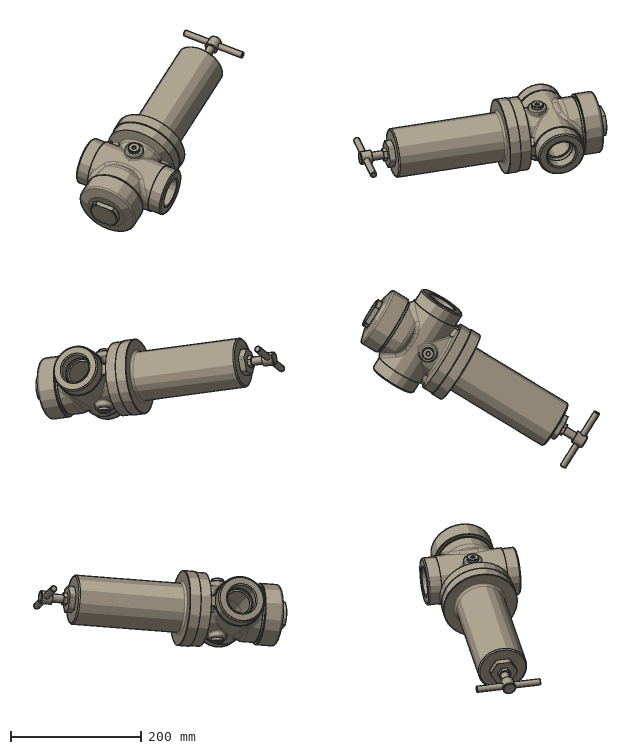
import cadquery as cq
import math


port_length = 145.0
port_radius = 36.5
port_chamfer = 2.0
cross_length = 104.0
cross_radius = 38.0
neck_radius = 38.0
flange_radius = 56.8
joint_y = 60.3
flange_front_y = 43.9
flange_cone_depth = 3.6
bowl_radius = 44.4
bowl_front_y = -42.0
bowl_shoulder_y = -19.2
bowl_cone_depth = 13.0
bowl_shoulder_fillet = 9.3
spigot_radius = 43.2
thread_radius = 22.2
thread_depth = 17.0
seat_radius = 21.8
seat_depth = 23.8
bore_radius = 19.0
port_mouth_radius = 24.5
port_mouth_depth = 1.0
neck_fillet = 3.3
saddle_fillet = 3.0
bowl_fillet = 8.0

gauge_y = 19.0
gauge_boss_radius = 14.2
gauge_boss_top = 45.3
gauge_boss_fillet = 2.0
gauge_root_fillet = 1.5
plug_radius = 9.2
plug_top = 50.0
plug_chamfer = 0.9
plug_socket_width = 6.0
plug_socket_depth = 3.0

cap_radius = 47.5
cap_back_y = -45.2
cap_back_chamfer = 0.7
cap_edge_y = -73.4
cap_edge_fillet = 3.0
cap_face_y = -78.2
cap_face_radius = 31.0
cap_head_radius = 23.3
cap_head_flats = 36.5
cap_head_chamfer_height = 0.9
cap_head_chamfer_width = 2.0
front_y = -86.0

overall_length = 388.0
bonnet_flange_radius = 115.89 / 2
bonnet_flange_back_y = 78.2
bonnet_flange_chamfer = 0.8
bonnet_radius = 38.0
bonnet_top_y = 249.8
bonnet_root_fillet = 3.5
bonnet_edge_chamfer = 2.0

collar_flats = 37.0
collar_height = 9.7
collar_corner_fillet = 3.5
lock_nut_flats = 17.0
lock_nut_height = 6.0
screw_radius = 6.5
screw_head_radius = 10.0
screw_head_length = 18.0
screw_head_chamfer = 1.4
bar_length = 100.0
bar_radius = 4.9
bar_chamfer = 0.9
bar_offset = 8.5

collar_top_y = bonnet_top_y + collar_height
lock_nut_top_y = collar_top_y + lock_nut_height
back_y = front_y + overall_length
screw_head_y = back_y - screw_head_length
bar_y = back_y - bar_offset


def cylinder_x(radius, length):
    return cq.Workplane("YZ").circle(radius).extrude(length / 2, both=True)


def cylinder_y(radius, y_start, y_end):
    return cq.Workplane("XZ", origin=(0, y_start, 0)).circle(radius).extrude(y_start - y_end)


def hexagon_y(flats, y_start, y_end):
    corners = flats / math.cos(math.pi / 6)
    return cq.Workplane("XZ", origin=(0, y_start, 0)).polygon(6, corners).extrude(y_start - y_end)


def turned(points):
    """Solid of revolution about Y from (radius, y) points that start and end on the axis."""
    return cq.Workplane("XY").polyline(points).close().revolve(360, (0, 0, 0), (0, 1, 0))


def build_bowl():
    """Cross barrel and front bowl with a rolled blend between them."""
    blend_room = 4 * bowl_fillet
    cone_top_y = bowl_shoulder_y + bowl_cone_depth
    bowl = (
        turned([
            (0, cone_top_y),
            (bowl_radius - bowl_cone_depth, cone_top_y),
            (bowl_radius, bowl_shoulder_y),
            (bowl_radius, bowl_front_y - blend_room),
            (0, bowl_front_y - blend_room),
        ])
        .edges(cq.selectors.NearestToPointSelector((0, bowl_shoulder_y, 0)))
        .fillet(bowl_shoulder_fillet)
    )
    blended = cylinder_x(cross_radius, cross_length + blend_room).union(bowl)
    meeting = blended.edges().filter(lambda edge: edge.geomType() not in ("LINE", "CIRCLE"))
    blended = meeting.fillet(bowl_fillet)
    envelope = cq.Workplane("XY").box(cross_length, -2 * bowl_front_y, 4 * cross_radius)
    return blended.intersect(envelope).union(cylinder_y(spigot_radius, bowl_front_y, cap_back_y))


def build_web():
    """Ridge that fills the wedge between the cross barrel and the flange, with hollow sides."""
    slope = flange_cone_depth / (flange_radius - neck_radius)
    top_y = flange_front_y - slope * (flange_radius - cross_length / 2)
    centre_y = top_y - neck_fillet
    centre_z = math.sqrt((cross_radius + neck_fillet) ** 2 - centre_y ** 2)
    web = cq.Workplane("XY").box(cross_length, top_y, 2 * centre_z, (True, False, True))
    for side in (1, -1):
        web = web.cut(cylinder_x(neck_fillet, cross_length).translate((0, centre_y, side * centre_z)))
    return web


def is_boss_root(edge):
    """True for the curved edges around the foot of either gauge boss, below its rounded rim."""
    centre = edge.Center()
    near_axis = math.hypot(centre.x, centre.y - gauge_y) < 1.01 * gauge_boss_radius
    foot_z = neck_radius - saddle_fillet
    rim_z = gauge_boss_top - 1.1 * gauge_boss_fillet
    return near_axis and foot_z < abs(centre.z) < rim_z


def build_housing():
    flange_cone_y = flange_front_y - flange_cone_depth
    neck = turned([
        (0, 0),
        (neck_radius, 0),
        (neck_radius, flange_cone_y),
        (flange_radius, flange_front_y),
        (flange_radius, joint_y),
        (0, joint_y),
    ])
    root = cq.selectors.NearestToPointSelector((0, flange_cone_y, 0))
    housing = build_bowl().union(neck.edges(root).fillet(neck_fillet))
    for side in (1, -1):
        boss = (
            cq.Workplane("XY", origin=(0, gauge_y, 0))
            .circle(gauge_boss_radius).extrude(side * gauge_boss_top)
        )
        rim = boss.faces(">Z" if side > 0 else "<Z").edges()
        housing = housing.union(rim.fillet(gauge_boss_fillet))

    saddles = housing.edges("%ELLIPSE").filter(lambda edge: abs(edge.Center().x) > gauge_boss_radius)
    housing = saddles.fillet(saddle_fillet)

    boss_roots = housing.edges("not %LINE").filter(is_boss_root)
    housing = boss_roots.fillet(gauge_root_fillet)

    ports = cylinder_x(port_radius, port_length).faces("<X or >X").chamfer(port_chamfer)
    housing = housing.union(build_web()).union(ports)
    half = port_length / 2
    passage = (
        cq.Workplane("XY")
        .polyline([
            (-half, 0),
            (-half, port_mouth_radius),
            (port_mouth_depth - half, thread_radius),
            (thread_depth - half, thread_radius),
            (thread_depth - half, seat_radius),
            (seat_depth - half, seat_radius),
            (seat_depth - half, bore_radius),
            (0, bore_radius),
            (0, 0),
        ])
        .close()
        .revolve(360, (0, 0, 0), (1, 0, 0))
    )
    return housing.cut(passage).cut(passage.mirror("YZ"))


def build_plug(side):
    plug = (
        cq.Workplane("XY", origin=(0, gauge_y, gauge_boss_top))
        .circle(plug_radius).extrude(plug_top - gauge_boss_top)
        .faces(">Z").chamfer(plug_chamfer)
        .faces(">Z").workplane()
        .polygon(6, plug_socket_width / math.cos(math.pi / 6)).cutBlind(-plug_socket_depth)
    )
    return plug if side > 0 else plug.mirror("XY")


def build_cap():
    cap = turned([
        (0, cap_back_y),
        (cap_radius - cap_back_chamfer, cap_back_y),
        (cap_radius, cap_back_y - cap_back_chamfer),
        (cap_radius, cap_edge_y),
        (cap_face_radius, cap_face_y),
        (0, cap_face_y),
    ])
    rim = cq.selectors.NearestToPointSelector((0, cap_edge_y, 0))
    cap = cap.edges(rim).fillet(cap_edge_fillet)
    head = cylinder_y(cap_head_radius, cap_face_y, front_y)
    head = head.faces("<Y").chamfer(cap_head_chamfer_height, cap_head_chamfer_width)
    flats = cq.Workplane("XY").box(2 * cap_head_radius, 2 * overall_length, cap_head_flats)
    return cap.union(head.intersect(flats))


def build_bonnet():
    flange = cylinder_y(bonnet_flange_radius, joint_y, bonnet_flange_back_y)
    flange = flange.faces("<Y or >Y").chamfer(bonnet_flange_chamfer)
    tube = cylinder_y(bonnet_radius, joint_y, bonnet_top_y).faces(">Y").chamfer(bonnet_edge_chamfer)
    bonnet = flange.union(tube)
    back_face = cq.selectors.NearestToPointSelector((0, bonnet_flange_back_y, 0))
    tube_root = cq.selectors.RadiusNthSelector(0)
    return bonnet.faces(back_face).edges(tube_root).fillet(bonnet_root_fillet)


def build_nut(flats, y_start, y_end):
    return hexagon_y(flats, y_start, y_end).cut(cylinder_y(screw_radius, y_start, y_end))


def build_screw():
    shank = cylinder_y(screw_radius, bonnet_top_y, back_y)
    head = cylinder_y(screw_head_radius, screw_head_y, back_y).faces(">Y").chamfer(screw_head_chamfer)
    cross_hole = cylinder_x(bar_radius, bar_length).translate((0, bar_y, 0))
    return head.union(shank.cut(cylinder_y(screw_radius, screw_head_y, back_y))).cut(cross_hole)


def build_bar():
    bar = cylinder_x(bar_radius, bar_length).faces("<X or >X").chamfer(bar_chamfer)
    return bar.translate((0, bar_y, 0))


housing = build_housing()
cap = build_cap()
bonnet = build_bonnet()
collar = build_nut(collar_flats, bonnet_top_y, collar_top_y)
collar = collar.edges("|Y and (not %CIRCLE)").fillet(collar_corner_fillet)
lock_nut = build_nut(lock_nut_flats, collar_top_y, lock_nut_top_y)
screw = build_screw()
bar = build_bar()
plugs = [build_plug(side) for side in (1, -1)]

result = cq.Compound.makeCompound([
    housing.val(),
    cap.val(),
    bonnet.val(),
    collar.val(),
    lock_nut.val(),
    screw.val(),
    bar.val(),
    *[plug.val() for plug in plugs],
])